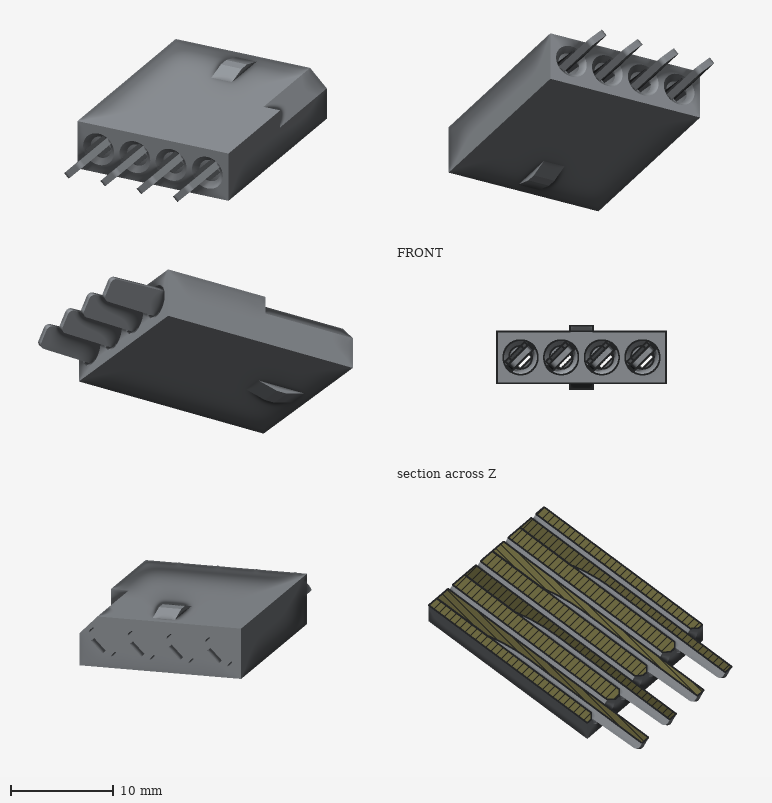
import cadquery as cq
import math

TOTAL_LENGTH = 26.8
HOUSING_WIDTH = 16.55
HOUSING_LENGTH = 21.2
HOUSING_HEIGHT = 5.1

BEVEL_SIZE = 1.82
BEVEL_LENGTH = 10.05

LATCH_WIDTH = 2.28
LATCH_HEIGHT = 0.55
LATCH_LENGTH = 5.3
LATCH_CREST = 1.13
LATCH_REAR_GAP = 1.07

CONTACT_COUNT = 4
CONTACT_PITCH = 3.97
CONTACT_ANGLE = 45.0
MOUTH_RADIUS = 1.7
CONE_FLOOR_RADIUS = 1.13
CONE_DEPTH = 0.54
CHANNEL_WIDTH = 1.65
CHANNEL_HEIGHT = 1.55

BLADE_THICKNESS = 0.7
BLADE_TIP_WIDTH = 2.39
BLADE_MOUTH_WIDTH = 2.65
BLADE_ROOT_WIDTH = 3.1
TIP_RADIUS = 0.5
ROOT_WIDTH = 2.68
RAMP_RADIUS = 26.8

half_width = HOUSING_WIDTH / 2
half_height = HOUSING_HEIGHT / 2
blade_reach = TOTAL_LENGTH - HOUSING_LENGTH
taper_rate = (BLADE_MOUTH_WIDTH - BLADE_TIP_WIDTH) / blade_reach
root_start = (BLADE_ROOT_WIDTH - BLADE_MOUTH_WIDTH) / taper_rate
blade_top = BLADE_THICKNESS / 2
root_top = CHANNEL_HEIGHT / 2
root_height = root_top - blade_top
ramp_length = math.sqrt(root_height * (2 * RAMP_RADIUS - root_height))
contact_xs = [(i - (CONTACT_COUNT - 1) / 2) * CONTACT_PITCH for i in range(CONTACT_COUNT)]


def make_bar(width, z_bottom, z_top, y_start):
    """Rectangular bar centred on X, from y_start back to the rear of the housing."""
    return (
        cq.Workplane("XY", origin=(0, 0, z_bottom))
        .moveTo(-width / 2, y_start)
        .lineTo(width / 2, y_start)
        .lineTo(width / 2, HOUSING_LENGTH)
        .lineTo(-width / 2, HOUSING_LENGTH)
        .close()
        .extrude(z_top - z_bottom)
    )


def place_contact(shape, x):
    """Turn a shape about the Y axis and move it to a contact position."""
    return shape.rotate((0, 0, 0), (0, 1, 0), -CONTACT_ANGLE).translate((x, 0, 0))


def make_blade():
    """Flat blade, tapered toward a tip with rounded corners."""
    half_tip = BLADE_TIP_WIDTH / 2
    half_root = BLADE_ROOT_WIDTH / 2
    return (
        cq.Workplane("XY")
        .polyline([
            (-half_tip, -blade_reach),
            (half_tip, -blade_reach),
            (half_root, root_start),
            (half_root, HOUSING_LENGTH),
            (-half_root, HOUSING_LENGTH),
            (-half_root, root_start),
        ])
        .close()
        .extrude(blade_top, both=True)
        .faces("<Y").edges("|Z").fillet(TIP_RADIUS)
    )


def make_root():
    """Root on the upper blade face: a notch between two cheeks, its floor curving up to the rear."""
    notch = (
        cq.Workplane("YZ")
        .moveTo(root_start, blade_top)
        .radiusArc((root_start + ramp_length, root_top), -RAMP_RADIUS)
        .lineTo(root_start, root_top)
        .close()
        .extrude(CHANNEL_WIDTH / 2, both=True)
    )
    return make_bar(ROOT_WIDTH, blade_top, root_top, root_start).cut(notch)


def make_contact():
    return make_blade().union(make_root())


def make_cavity():
    """Conical mouth, then a blade slot, a root recess and an open channel that all run right through."""
    cone = cq.Workplane(
        cq.Solid.makeCone(MOUTH_RADIUS, CONE_FLOOR_RADIUS, CONE_DEPTH, dir=cq.Vector(0, 1, 0))
    )
    bore = cq.Workplane("XZ").circle(MOUTH_RADIUS).extrude(-HOUSING_LENGTH)
    slot = make_bar(2 * MOUTH_RADIUS, -blade_top, blade_top, 0).intersect(bore)
    recess = make_bar(ROOT_WIDTH, blade_top, root_top, 0)
    channel = make_bar(CHANNEL_WIDTH, -root_top, root_top, 0)
    return cone.union(slot).union(recess).union(channel)


def make_latch():
    """Bump on the top face with a ramp at each end of its flat crest."""
    rear = HOUSING_LENGTH - LATCH_REAR_GAP
    front = rear - LATCH_LENGTH
    ramp = (LATCH_LENGTH - LATCH_CREST) / 2
    crest = half_height + LATCH_HEIGHT
    return (
        cq.Workplane("YZ")
        .polyline([(front, half_height), (rear, half_height), (rear - ramp, crest), (front + ramp, crest)])
        .close()
        .extrude(LATCH_WIDTH / 2, both=True)
    )


def make_bevel():
    """Triangular prism that cuts the bevel."""
    return (
        cq.Workplane("XZ", origin=(0, HOUSING_LENGTH, 0))
        .polyline([
            (half_width - BEVEL_SIZE, half_height),
            (half_width, half_height),
            (half_width, half_height - BEVEL_SIZE),
        ])
        .close()
        .extrude(BEVEL_LENGTH)
    )


def make_housing():
    latch = make_latch()
    body = make_bar(HOUSING_WIDTH, -half_height, half_height, 0)
    body = body.union(latch).union(latch.mirror("XY")).cut(make_bevel())
    cavity = make_cavity()
    for x in contact_xs:
        body = body.cut(place_contact(cavity, x))
    return body


housing = make_housing()
contact = make_contact()
contacts = [place_contact(contact, x) for x in contact_xs]
result = cq.Compound.makeCompound([housing.solids().val(), *[c.solids().val() for c in contacts]])